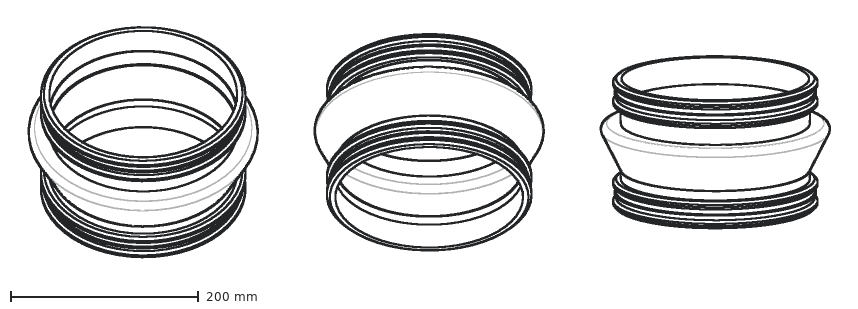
import cadquery as cq
import math

total_height = 139.0
outer_diameter = 244.5
bore_diameter = 200.0
tube_diameter = 201.7

bulge_top = 90.2
cone_bottom = 39.4
rim_radius = 6.4

collar_height = 29.3
collar_diameter = 211.8
bead_diameter = 218.4
lip_diameter = 215.2
lip_thickness = 1.0
bead_height = 8.8
bead_flat = 2.5

bore_r = bore_diameter / 2
tube_r = tube_diameter / 2
wall = tube_r - bore_r
collar_r = collar_diameter / 2
bead_r = bead_diameter / 2
lip_r = lip_diameter / 2

rim_r = outer_diameter / 2 - rim_radius
rim_z = bulge_top - rim_radius
rim_dr = rim_r - tube_r
rim_dz = rim_z - cone_bottom
cone_angle = math.acos(-rim_radius / math.hypot(rim_dr, rim_dz)) - math.atan2(rim_dz, rim_dr)


def revolve_profile(sketch):
    """Close an (r, z) outline and turn it about the Z axis."""
    return sketch.close().revolve(360, (0, 0, 0), (0, 1, 0))


def rim_point(radius, angle):
    """Point on a rim arc, with the angle measured up from horizontal."""
    return (rim_r + radius * math.cos(angle), rim_z + radius * math.sin(angle))


def make_collar(base_z):
    """Collar with a bevelled bead at each end and a thin lip halfway up."""
    bevel = (bead_height - bead_flat) / 2
    lower_bead = [
        (collar_r, 0),
        (bead_r, bevel),
        (bead_r, bevel + bead_flat),
        (collar_r, bead_height),
    ]
    lip_bottom = (collar_height - lip_thickness) / 2
    lower_half = lower_bead + [(collar_r, lip_bottom), (lip_r, lip_bottom)]
    upper_half = [(r, collar_height - z) for r, z in reversed(lower_half)]
    outline = [(bore_r, 0)] + lower_half + upper_half + [(bore_r, collar_height)]
    collar = revolve_profile(cq.Workplane("XZ").polyline(outline))
    return collar.translate((0, 0, base_z))


def make_bulged_tube(bottom_z, top_z):
    """Thin-walled tube with a cone that widens upward to a rounded rim."""
    inner_radius = rim_radius - wall
    rim_middle = (math.pi / 2 - cone_angle) / 2
    inner_tangent_r, inner_tangent_z = rim_point(inner_radius, -cone_angle)
    inner_cone_bottom = inner_tangent_z - (inner_tangent_r - bore_r) / math.tan(cone_angle)
    profile = (
        cq.Workplane("XZ")
        .moveTo(bore_r, bottom_z)
        .lineTo(tube_r, bottom_z)
        .lineTo(tube_r, cone_bottom)
        .lineTo(*rim_point(rim_radius, -cone_angle))
        .threePointArc(rim_point(rim_radius, rim_middle), rim_point(rim_radius, math.pi / 2))
        .lineTo(tube_r, bulge_top)
        .lineTo(tube_r, top_z)
        .lineTo(bore_r, top_z)
        .lineTo(bore_r, bulge_top - wall)
        .lineTo(*rim_point(inner_radius, math.pi / 2))
        .threePointArc(rim_point(inner_radius, rim_middle), (inner_tangent_r, inner_tangent_z))
        .lineTo(bore_r, inner_cone_bottom)
    )
    return revolve_profile(profile)


upper_collar_z = total_height - collar_height

fitting = make_bulged_tube(collar_height, upper_collar_z).union(make_collar(0))

upper_collar = make_collar(upper_collar_z)

result = cq.Compound.makeCompound([fitting.solids().val(), upper_collar.val()])